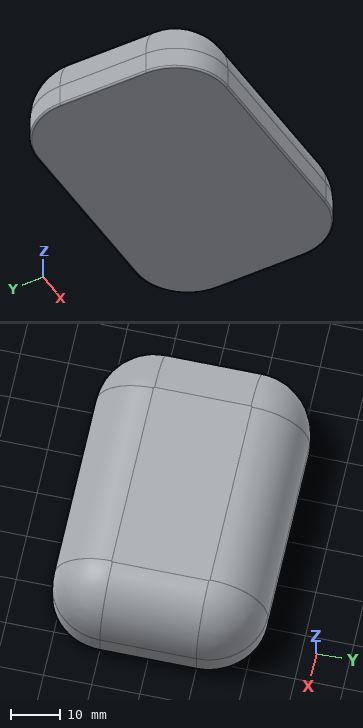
import cadquery as cq

length = 64.4
width = 44.4
height = 17.0

corner_radius = 12.2
top_radius = 12.0
base_radius = 0.4


def rounded_block():
    """Block standing on Z = 0 with rounded upright corners."""
    block = cq.Workplane("XY").box(length, width, height, centered=(True, True, False))
    return block.edges("|Z").fillet(corner_radius)


def round_top(body):
    """Roll the side walls over into the flat top."""
    return body.faces(">Z").edges().fillet(top_radius)


def round_base(body):
    """Soften the sharp edge around the underside."""
    return body.faces("<Z").edges().fillet(base_radius)


result = round_base(round_top(rounded_block()))